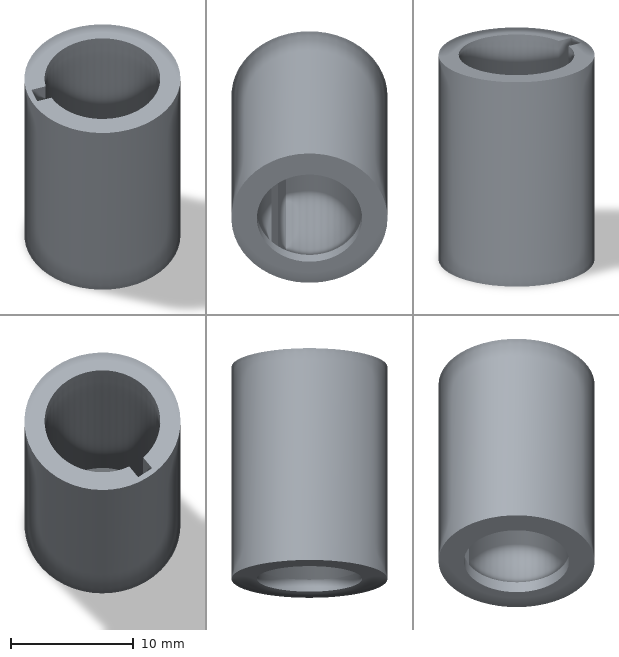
import cadquery as cq

length = 17.75
outer_diameter = 12.7

bore_diameter = 9.4
lip_diameter = 8.55
lip_thickness = 1.0
bore_depth = length - lip_thickness

keyway_width = 1.4
keyway_reach = 5.88


def cylinder(diameter, height, base=0):
    return cq.Workplane("XY").workplane(offset=base).circle(diameter / 2).extrude(height)


def keyway():
    return (
        cq.Workplane("XY", origin=(0, -keyway_reach / 2, lip_thickness))
        .rect(keyway_width, keyway_reach)
        .extrude(bore_depth)
    )


sleeve = cylinder(outer_diameter, length)
lip_hole = cylinder(lip_diameter, length)
main_bore = cylinder(bore_diameter, bore_depth, base=lip_thickness)

result = sleeve.cut(lip_hole).cut(main_bore).cut(keyway())